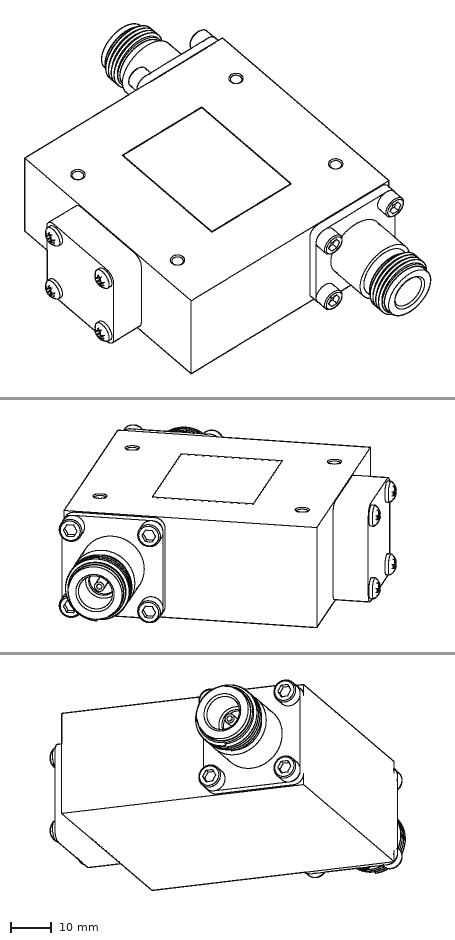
import cadquery as cq
import math

HOUSING_SIDE = 63.5
HOUSING_HEIGHT = 26.0
PLATE_THICKNESS = 1.9
HALF_SIDE = HOUSING_SIDE / 2
TOP_Z = HOUSING_HEIGHT / 2

MOUNT_PITCH_X = 38.0
MOUNT_PITCH_Y = 50.8
MOUNT_DIAMETER = 2.8
MOUNT_MOUTH_DIAMETER = 3.5
MOUNT_DEPTH = 6.6
DRILL_POINT_ANGLE = 118.0

LABEL_LENGTH = 34.0
LABEL_WIDTH = 25.4
LABEL_THICKNESS = 0.2

PAD_SIDE = 25.4
PAD_CORNER_RADIUS = 2.6

LOAD_DEPTH = 8.9
LOAD_SCREW_PITCH = 18.8
PAN_DIAMETER = 5.3
PAN_HEIGHT = 2.3
PAN_RIM_HEIGHT = 0.9
CROSS_SPAN = 3.1
CROSS_ARM_WIDTH = 1.0
CROSS_HUB_DIAMETER = 1.6
CROSS_DEPTH = 1.3

CONNECTOR_Y = HALF_SIDE - PAD_SIDE / 2
OVERALL_LENGTH = 109.5
CONNECTOR_LENGTH = OVERALL_LENGTH / 2 - HALF_SIDE
FLANGE_THICKNESS = 2.4
SLEEVE_END = 13.6
SLEEVE_DIAMETER = 16.0
NOSE_DIAMETER = 13.6
THREAD_START = 15.9
THREAD_END = 21.5
THREAD_ROOT_DIAMETER = 14.5
THREAD_ROOT_CHAMFER = 0.3
THREAD_DIAMETER = 15.9
THREAD_PITCH = 1.06
THREAD_TURNS = 4
THREAD_CREST_WIDTH = 0.1
THREAD_FOOT_WIDTH = 0.9
THREAD_SINK = 0.1
BORE_DIAMETER = 8.5
BORE_DEPTH = 9.0
BORE_MOUTH_DIAMETER = 9.6
WELL_DIAMETER = 7.0
WELL_DEPTH = 1.1
PIN_DIAMETER = 2.4
PIN_HOLE_DIAMETER = 1.3
PIN_TIP_DEPTH = 5.0

FLANGE_SCREW_PITCH = 19.7
CAP_SCREW_DIAMETER = 5.7
CAP_SCREW_HEIGHT = 3.5
CAP_SCREW_CHAMFER = 0.3
SOCKET_ACROSS_FLATS = 3.0
SOCKET_DEPTH = 1.5


def bar(diameter, start, end):
    """A round bar along +X."""
    return cq.Workplane("YZ", origin=(start, 0, 0)).circle(diameter / 2).extrude(end - start)


def repeat_on(plane, pitch_u, pitch_v, shape):
    """Four copies of a shape, standing on the plane at the corners of a rectangle."""
    return cq.Workplane(plane).rarray(pitch_u, pitch_v, 2, 2).eachpoint(shape.val(), True)


def square_pad(plane, thickness):
    """A square pad with rounded corners, standing on the given plane."""
    outline = cq.Sketch().rect(PAD_SIDE, PAD_SIDE).vertices().fillet(PAD_CORNER_RADIUS)
    return cq.Workplane(plane).placeSketch(outline).extrude(thickness)


def cap_screw_head():
    """A socket head standing on the XY plane."""
    head = cq.Workplane("XY").circle(CAP_SCREW_DIAMETER / 2).extrude(CAP_SCREW_HEIGHT)
    head = head.faces(">Z").edges().chamfer(CAP_SCREW_CHAMFER)
    across_corners = SOCKET_ACROSS_FLATS / math.cos(math.pi / 6)
    return head.faces(">Z").workplane().polygon(6, across_corners).cutBlind(-SOCKET_DEPTH)


def pan_screw_head():
    """A domed head with a cross recess, standing on the XY plane."""
    radius = PAN_DIAMETER / 2
    dome_height = PAN_HEIGHT - PAN_RIM_HEIGHT
    dome_radius = (radius**2 + dome_height**2) / (2 * dome_height)
    half_angle = math.asin(radius / dome_radius) / 2
    dome_middle = (
        dome_radius * math.sin(half_angle),
        PAN_HEIGHT - dome_radius * (1 - math.cos(half_angle)),
    )
    head = (
        cq.Workplane("XZ")
        .lineTo(radius, 0)
        .lineTo(radius, PAN_RIM_HEIGHT)
        .threePointArc(dome_middle, (0, PAN_HEIGHT))
        .close()
        .revolve(360, (0, 0, 0), (0, 1, 0))
    )
    floor = cq.Workplane("XY", origin=(0, 0, PAN_HEIGHT - CROSS_DEPTH))
    for span_x, span_y in ((CROSS_SPAN, CROSS_ARM_WIDTH), (CROSS_ARM_WIDTH, CROSS_SPAN)):
        head = head.cut(floor.rect(span_x, span_y).extrude(CROSS_DEPTH))
    return head.cut(floor.circle(CROSS_HUB_DIAMETER / 2).extrude(CROSS_DEPTH))


def thread_ridge():
    """A helical ridge around X, its foot sunk below the root surface."""
    root = THREAD_ROOT_DIAMETER / 2 - THREAD_SINK
    crest = THREAD_DIAMETER / 2
    length = THREAD_PITCH * THREAD_TURNS
    helix = cq.Wire.makeHelix(THREAD_PITCH, length, root)
    ridge = (
        cq.Workplane("XZ")
        .moveTo(root, -THREAD_FOOT_WIDTH / 2)
        .lineTo(crest, -THREAD_CREST_WIDTH / 2)
        .lineTo(crest, THREAD_CREST_WIDTH / 2)
        .lineTo(root, THREAD_FOOT_WIDTH / 2)
        .close()
        .sweep(cq.Workplane(helix), isFrenet=True)
    )
    start = (THREAD_START + THREAD_END - length) / 2
    return ridge.rotate((0, 0, 0), (0, 1, 0), 90).translate((start, 0, 0))


def connector():
    """A threaded coaxial connector along +X with its flange on the YZ plane."""
    body = square_pad("YZ", FLANGE_THICKNESS)
    body = body.union(bar(SLEEVE_DIAMETER, FLANGE_THICKNESS, SLEEVE_END))
    body = body.union(bar(NOSE_DIAMETER, SLEEVE_END, CONNECTOR_LENGTH))
    root = bar(THREAD_ROOT_DIAMETER, THREAD_START, THREAD_END).edges().chamfer(THREAD_ROOT_CHAMFER)
    body = body.union(root).union(thread_ridge())

    floor = CONNECTOR_LENGTH - BORE_DEPTH
    well_floor = floor - WELL_DEPTH
    pin_tip = CONNECTOR_LENGTH - PIN_TIP_DEPTH
    body = body.cut(bar(BORE_DIAMETER, floor, CONNECTOR_LENGTH))
    mouth_edge = body.faces(">X").edges(cq.selectors.RadiusNthSelector(0))
    body = mouth_edge.chamfer((BORE_MOUTH_DIAMETER - BORE_DIAMETER) / 2)
    body = body.cut(bar(WELL_DIAMETER, well_floor, floor))
    body = body.union(bar(PIN_DIAMETER, well_floor, pin_tip))
    body = body.cut(bar(PIN_HOLE_DIAMETER, floor, pin_tip))

    flange_face = cq.Plane.YZ((FLANGE_THICKNESS, 0, 0))
    return body.union(repeat_on(flange_face, FLANGE_SCREW_PITCH, FLANGE_SCREW_PITCH, cap_screw_head()))


def load_block():
    """The block on the front of the housing, with its four screws."""
    block = square_pad(cq.Plane.XZ((0, -HALF_SIDE, 0)), LOAD_DEPTH)
    front = cq.Plane.XZ((0, -HALF_SIDE - LOAD_DEPTH, 0))
    return block.union(repeat_on(front, LOAD_SCREW_PITCH, LOAD_SCREW_PITCH, pan_screw_head()))


def mounting_hole():
    """The space of a blind drilled hole with a countersunk mouth, going down from the XY plane."""
    radius = MOUNT_DIAMETER / 2
    mouth_radius = MOUNT_MOUTH_DIAMETER / 2
    point_height = radius / math.tan(math.radians(DRILL_POINT_ANGLE / 2))
    return (
        cq.Workplane("XZ")
        .lineTo(mouth_radius, 0)
        .lineTo(radius, radius - mouth_radius)
        .lineTo(radius, -MOUNT_DEPTH)
        .lineTo(0, -MOUNT_DEPTH - point_height)
        .close()
        .revolve(360, (0, 0, 0), (0, 1, 0))
    )


def label():
    """The thin label flush with the top."""
    floor = cq.Workplane("XY", origin=(0, 0, TOP_Z - LABEL_THICKNESS))
    return floor.rect(LABEL_LENGTH, LABEL_WIDTH).extrude(LABEL_THICKNESS)


def housing():
    """The housing with its plates, load block, connectors, holes and label recess."""
    layer_bounds = (-TOP_Z, -TOP_Z + PLATE_THICKNESS, TOP_Z - PLATE_THICKNESS, TOP_Z)
    body = cq.Workplane("XY")
    for bottom, top in zip(layer_bounds, layer_bounds[1:]):
        layer = cq.Workplane("XY", origin=(0, 0, bottom)).rect(HOUSING_SIDE, HOUSING_SIDE)
        body = body.add(layer.extrude(top - bottom))
    body = body.combine(clean=False)

    body = body.union(load_block(), clean=False)
    for turn in (0, 180):
        placed = connector().translate((HALF_SIDE, 0, 0)).rotate((0, 0, 0), (0, 0, 1), turn)
        body = body.union(placed.translate((0, CONNECTOR_Y, 0)), clean=False)

    holes = repeat_on(cq.Plane.XY((0, 0, TOP_Z)), MOUNT_PITCH_X, MOUNT_PITCH_Y, mounting_hole())
    return body.cut(holes, clean=False).cut(label(), clean=False)


result = cq.Compound.makeCompound([housing().val(), label().val()])